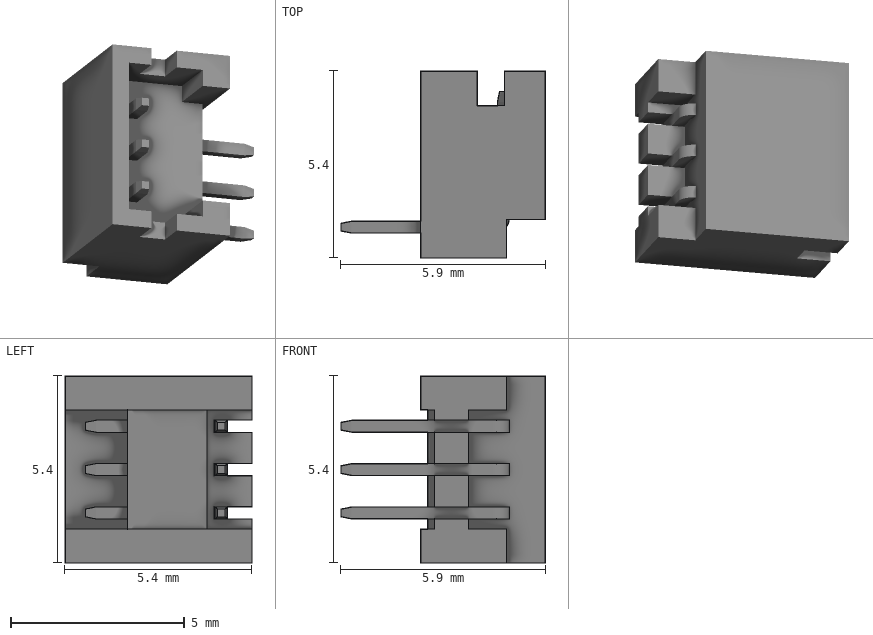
import cadquery as cq
import math

total_length = 5.9
housing_length = 3.6
housing_depth = 5.4
housing_height = 5.4
flange_thickness = 0.98
opening_height = housing_height - 2 * flange_thickness
housing_left = total_length - housing_length

recess_length = 1.12
recess_depth = 1.11

wall_inset = 0.2
wall_top = 3.6
foot_inset = 0.395
foot_length = 0.99
foot_shoulder = 1.3
foot_left = housing_left + foot_inset

cavity_inset = 0.84
cavity_wall = 0.5
cavity_left = housing_left + cavity_inset
cavity_right = total_length - cavity_wall

notch_inset = 1.635
notch_length = 0.78
notch_depth = 1.0

pin_count = 3
pin_pitch = 1.25
pin_width = 0.35
pin_tip_width = 0.225
pin_tip_length = 0.31
pin_bottom = 0.72
pin_end_gap = 0.585
bend_inner_radius = 0.1
bend_outer_radius = bend_inner_radius + pin_width
pin_right = 4.86
pin_top = housing_depth - pin_end_gap
pin_heights = [(i - (pin_count - 1) / 2) * pin_pitch for i in range(pin_count)]


def block(x_start, x_end, y_start, y_end, height, z_middle=0.0):
    """Box between the given X and Y limits, centred on z_middle."""
    return (
        cq.Workplane("XY")
        .box(x_end - x_start, y_end - y_start, height)
        .translate(((x_start + x_end) / 2, (y_start + y_end) / 2, z_middle))
    )


def make_housing():
    housing = block(housing_left, total_length, 0, housing_depth, housing_height)

    housing = housing.cut(
        block(total_length - recess_length, total_length, 0, recess_depth, housing_height)
    )
    housing = housing.cut(
        block(foot_left + foot_length, total_length, 0, recess_depth, opening_height)
    )

    housing = housing.cut(
        block(housing_left, housing_left + wall_inset, 0, housing_depth, opening_height)
    )
    housing = housing.cut(block(housing_left, foot_left, 0, foot_shoulder, opening_height))

    housing = housing.cut(
        block(housing_left, cavity_right, wall_top, housing_depth, opening_height)
    )
    cavity_height = housing_height - 2 * cavity_wall
    housing = housing.cut(
        block(cavity_left, cavity_right, wall_top, housing_depth, cavity_height)
    )

    notch_left = housing_left + notch_inset
    housing = housing.cut(
        block(
            notch_left,
            notch_left + notch_length,
            housing_depth - notch_depth,
            housing_depth,
            housing_height,
        )
    )

    for height in pin_heights:
        housing = housing.cut(
            block(foot_left, foot_left + foot_length, 0, recess_depth, pin_width, height)
        )
    return housing


def tapered_tip():
    """Pin tip that narrows along +Z from the XY plane."""
    return (
        cq.Workplane("XY")
        .rect(pin_width, pin_width)
        .workplane(offset=pin_tip_length)
        .rect(pin_tip_width, pin_tip_width)
        .loft(ruled=True)
    )


def make_pin(height):
    """L-shaped pin with a leg toward -X and a contact toward +Y."""
    pin_left = pin_right - pin_width
    leg_top = pin_bottom + pin_width
    leg_end = pin_tip_length
    contact_end = pin_top - pin_tip_length
    bend_x = pin_right - bend_outer_radius
    bend_y = pin_bottom + bend_outer_radius
    diagonal = math.sqrt(0.5)
    outer_middle = (bend_x + bend_outer_radius * diagonal, bend_y - bend_outer_radius * diagonal)
    inner_middle = (bend_x + bend_inner_radius * diagonal, bend_y - bend_inner_radius * diagonal)
    shaft = (
        cq.Workplane("XY")
        .moveTo(leg_end, pin_bottom)
        .lineTo(bend_x, pin_bottom)
        .threePointArc(outer_middle, (pin_right, bend_y))
        .lineTo(pin_right, contact_end)
        .lineTo(pin_left, contact_end)
        .lineTo(pin_left, bend_y)
        .threePointArc(inner_middle, (bend_x, leg_top))
        .lineTo(leg_end, leg_top)
        .close()
        .extrude(pin_width / 2, both=True)
    )
    leg_tip = (
        tapered_tip()
        .rotate((0, 0, 0), (0, 1, 0), -90)
        .translate((leg_end, pin_bottom + pin_width / 2, 0))
    )
    contact_tip = (
        tapered_tip()
        .rotate((0, 0, 0), (1, 0, 0), -90)
        .translate((pin_right - pin_width / 2, contact_end, 0))
    )
    return shaft.union(leg_tip).union(contact_tip).translate((0, 0, height))


result = make_housing()
for pin_height in pin_heights:
    result = result.union(make_pin(pin_height))